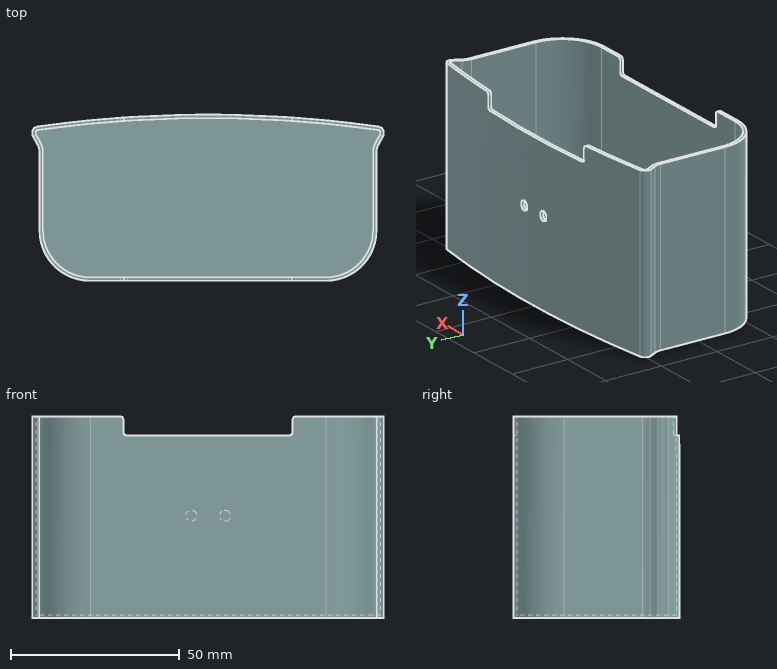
import cadquery as cq
import math

height = 59.8
depth = 49.4
overall_width = 104.4
body_width = 100.0
wall = 1.0
floor = 1.0

front_radius = 15.0
side_length = 23.2
flare_angle = math.radians(30)
flare_radius = 4.6
ear_radius = 2.0
back_radius = 360.2

notch_width = 50.1
notch_depth = 5.6
notch_radius = 1.0

hole_diameter = 3.2
hole_spacing = 10.0
hole_center_x = 0.0
hole_height = (height + floor) / 2


def polar(center, radius, angle):
    """Point on a circle, with the angle measured from +X."""
    return (center[0] + radius * math.cos(angle), center[1] + radius * math.sin(angle))


def mirrored(point):
    """The same point on the opposite (-X) side."""
    return (-point[0], point[1])


def outline(inset):
    """Closed plan outline, moved inward by the given distance; the front face is at y = 0."""
    half_body = body_width / 2
    corner_center = (half_body - front_radius, front_radius)
    corner_r = front_radius - inset
    bend_center = (half_body + flare_radius, front_radius + side_length)
    bend_r = flare_radius + inset
    back_center = (0, depth - back_radius)
    back_r = back_radius - inset
    ear_r = ear_radius - inset

    ear_x = overall_width / 2 - ear_radius
    ear_angle = math.acos(ear_x / (back_radius - ear_radius))
    ear_center = polar(back_center, back_radius - ear_radius, ear_angle)

    front_end = (corner_center[0], inset)
    corner_mid = polar(corner_center, corner_r, -math.pi / 4)
    side_start = (half_body - inset, front_radius)
    side_end = (half_body - inset, bend_center[1])
    bend_mid = polar(bend_center, bend_r, math.pi - flare_angle / 2)
    bend_end = polar(bend_center, bend_r, math.pi - flare_angle)
    ear_start = polar(ear_center, ear_r, -flare_angle)
    ear_mid = polar(ear_center, ear_r, (ear_angle - flare_angle) / 2)
    ear_end = polar(ear_center, ear_r, ear_angle)

    return (
        cq.Workplane("XY")
        .moveTo(*mirrored(front_end))
        .lineTo(*front_end)
        .threePointArc(corner_mid, side_start)
        .lineTo(*side_end)
        .threePointArc(bend_mid, bend_end)
        .lineTo(*ear_start)
        .threePointArc(ear_mid, ear_end)
        .threePointArc((0, back_center[1] + back_r), mirrored(ear_end))
        .threePointArc(mirrored(ear_mid), mirrored(ear_start))
        .lineTo(*mirrored(bend_end))
        .threePointArc(mirrored(bend_mid), mirrored(side_end))
        .lineTo(*mirrored(side_start))
        .threePointArc(mirrored(corner_mid), mirrored(front_end))
        .close()
    )


def notch():
    """Cutter with rounded bottom corners and rounded shoulders at the rim."""
    half = notch_width / 2
    r = notch_radius
    bottom = height - notch_depth
    return (
        cq.Workplane("XZ")
        .moveTo(-half - r, height)
        .radiusArc((-half, height - r), r)
        .lineTo(-half, bottom + r)
        .radiusArc((-half + r, bottom), -r)
        .lineTo(half - r, bottom)
        .radiusArc((half, bottom + r), -r)
        .lineTo(half, height - r)
        .radiusArc((half + r, height), r)
        .close()
        .extrude(-depth)
    )


def mounting_holes():
    """Two cutters that pass through the back wall only."""
    first_x = hole_center_x - hole_spacing / 2
    return (
        cq.Workplane("XZ", origin=(0, depth / 2, 0))
        .pushPoints([(first_x + i * hole_spacing, hole_height) for i in range(2)])
        .circle(hole_diameter / 2)
        .extrude(-depth / 2)
    )


shell = outline(0).extrude(height)
cavity = outline(wall).extrude(height).translate((0, 0, floor))
result = shell.cut(cavity).cut(notch()).cut(mounting_holes())